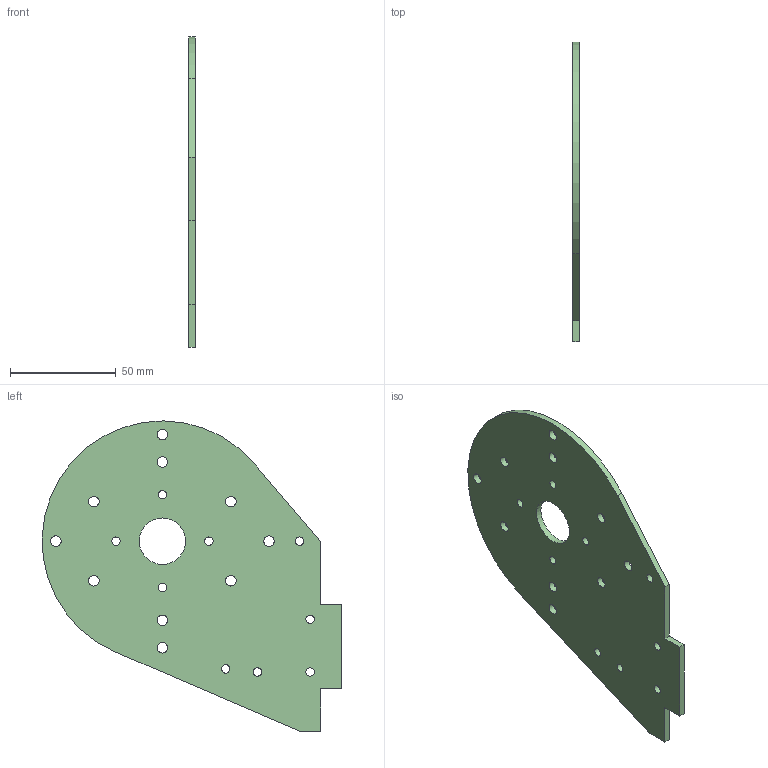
import cadquery as cq
import math

thickness = 3.0
head_radius = 57.0

edge_y = -75.0
edge_top_z = 0.0
bottom_z = -90.0
bottom_flat_length = 10.0
bottom_corner_y = edge_y + bottom_flat_length

tab_length = 10.0
tab_top_z = -30.0
tab_height = 40.0
tab_end_y = edge_y - tab_length
tab_bottom_z = tab_top_z - tab_height

bore_diameter = 22.0
large_hole = 5.0
small_hole = 4.0
inner_ring_radius = 22.0
middle_ring_radius = 37.5
outer_ring_radius = 50.5
cross_count = 4
middle_count = 6
middle_start_degrees = 30.0

tab_hole_inset = 5.0
tab_hole_y = edge_y + tab_hole_inset
lower_hole_z = -62.0
hole_spacing = 25.0
side_hole = (-65.0, 0.0)
slanted_side_hole = (-30.0, -60.5)
small_hole_points = [
    side_hole,
    (tab_hole_y, lower_hole_z + hole_spacing),
    (tab_hole_y, lower_hole_z),
    (tab_hole_y + hole_spacing, lower_hole_z),
    slanted_side_hole,
]


def polar(radius, angle):
    """Point (y, z) at an angle in radians from +Y towards +Z."""
    return (radius * math.cos(angle), radius * math.sin(angle))


def tangent_point(corner, side):
    """Point where a line from the corner touches the head; side is -1 or +1."""
    corner_angle = math.atan2(corner[1], corner[0])
    offset = math.acos(head_radius / math.hypot(corner[0], corner[1]))
    return polar(head_radius, corner_angle + side * offset)


def ring(radius, count, start_degrees=0.0):
    """Evenly spaced points on a circle around the head axis."""
    start = math.radians(start_degrees)
    return [polar(radius, start + 2 * math.pi * i / count) for i in range(count)]


def plate():
    """Round head with two tangent sides running down to the tabbed foot."""
    top_corner = (edge_y, edge_top_z)
    bottom_corner = (bottom_corner_y, bottom_z)
    return (
        cq.Workplane("YZ")
        .moveTo(*tangent_point(top_corner, -1))
        .threePointArc((head_radius, 0), tangent_point(bottom_corner, 1))
        .lineTo(*bottom_corner)
        .lineTo(edge_y, bottom_z)
        .lineTo(edge_y, tab_bottom_z)
        .lineTo(tab_end_y, tab_bottom_z)
        .lineTo(tab_end_y, tab_top_z)
        .lineTo(edge_y, tab_top_z)
        .lineTo(*top_corner)
        .close()
        .extrude(thickness)
    )


def hole_cutters(points, diameter):
    """Cylinders through the plate thickness at the given points."""
    return cq.Workplane("YZ").pushPoints(points).circle(diameter / 2).extrude(thickness)


result = plate()
result = result.cut(hole_cutters([(0, 0)], bore_diameter))
result = result.cut(hole_cutters(ring(inner_ring_radius, cross_count), small_hole))
result = result.cut(hole_cutters(ring(middle_ring_radius, middle_count, middle_start_degrees), large_hole))
result = result.cut(hole_cutters(ring(outer_ring_radius, cross_count), large_hole))
result = result.cut(hole_cutters(small_hole_points, small_hole))